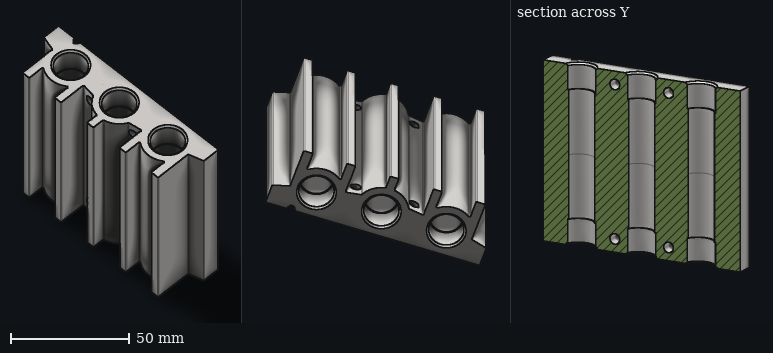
import cadquery as cq
import math

LENGTH = 95.6
DEPTH = 29.0
HEIGHT = 80.0

BORE_PITCH = 29.0
BORE_Y = 17.4
BORE_DIAMETER = 14.15
COUNTERBORE_DIAMETER = 14.9
COUNTERBORE_DEPTH = 11.5
COUNTERSINK_DIAMETER = 16.7
COUNTERSINK_DEPTH = (COUNTERSINK_DIAMETER - COUNTERBORE_DIAMETER) / 2

WALL_RADIUS = 11.7
EDGE_Y = 20.1
SHOULDER_SLOPE = 16.0
OUTER_FIN_OUTSIDE = 40.5
OUTER_FIN_INSIDE = 36.4
INNER_FIN_OUTSIDE = 21.2
INNER_FIN_INSIDE = 17.4
WEB_Y = 13.4
WEB_SLOPE_END_X = 10.5
RIB_HALF_WIDTH = 1.9
CORNER_FILLET = 0.5

GROOVE_X = -36.5
GROOVE_DEPTH = 2.1
GROOVE_RADIUS = 1.2
GROOVE_HALF_ANGLE = 30.0

MOUNT_DIAMETER = 4.5
MOUNT_X = 13.0
MOUNT_Z = 34.0


def wall_y(offset):
    """Y of the front of a bore wall at an X offset from its bore axis."""
    return BORE_Y - math.sqrt(WALL_RADIUS**2 - offset**2)


def shoulder_y():
    """Y where the sloped shoulder meets the outer fin."""
    run = LENGTH / 2 - OUTER_FIN_OUTSIDE
    return EDGE_Y - run * math.tan(math.radians(SHOULDER_SLOPE))


def half_body():
    """Right half of the finned extrusion."""
    half_length = LENGTH / 2
    wall_front_y = BORE_Y - WALL_RADIUS
    mid_x = (RIB_HALF_WIDTH + WEB_SLOPE_END_X) / 2
    profile = (
        cq.Workplane("XY", origin=(0, 0, -HEIGHT / 2))
        .moveTo(0, DEPTH)
        .lineTo(half_length, DEPTH)
        .lineTo(half_length, EDGE_Y)
        .lineTo(OUTER_FIN_OUTSIDE, shoulder_y())
        .lineTo(OUTER_FIN_OUTSIDE, 0)
        .lineTo(OUTER_FIN_INSIDE, 0)
        .lineTo(OUTER_FIN_INSIDE, wall_y(OUTER_FIN_INSIDE - BORE_PITCH))
        .threePointArc(
            (BORE_PITCH, wall_front_y),
            (INNER_FIN_OUTSIDE, wall_y(INNER_FIN_OUTSIDE - BORE_PITCH)),
        )
        .lineTo(INNER_FIN_OUTSIDE, 0)
        .lineTo(INNER_FIN_INSIDE, 0)
        .lineTo(INNER_FIN_INSIDE, WEB_Y)
        .lineTo(WEB_SLOPE_END_X, wall_y(WEB_SLOPE_END_X))
        .threePointArc((mid_x, wall_y(mid_x)), (RIB_HALF_WIDTH, wall_y(RIB_HALF_WIDTH)))
        .lineTo(RIB_HALF_WIDTH, 0)
        .lineTo(0, 0)
        .close()
    )
    return profile.extrude(HEIGHT)


def edges_along_z(x, y):
    """Selector for the vertical edges at plus and minus x."""
    margin = 0.1
    right, left = [
        cq.selectors.BoxSelector(
            (side * x - margin, y - margin, -HEIGHT),
            (side * x + margin, y + margin, HEIGHT),
        )
        for side in (1, -1)
    ]
    return right + left


def rounded_body():
    """Whole extrusion with its fin tips and profile corners rounded."""
    half = half_body()
    body = half.union(half.mirror("YZ")).clean()
    fin_sides = (OUTER_FIN_OUTSIDE, OUTER_FIN_INSIDE, INNER_FIN_OUTSIDE, INNER_FIN_INSIDE, RIB_HALF_WIDTH)
    corners = [(x, 0) for x in fin_sides]
    corners += [
        (LENGTH / 2, DEPTH),
        (LENGTH / 2, EDGE_Y),
        (OUTER_FIN_OUTSIDE, shoulder_y()),
        (OUTER_FIN_INSIDE, wall_y(OUTER_FIN_INSIDE - BORE_PITCH)),
        (INNER_FIN_OUTSIDE, wall_y(INNER_FIN_OUTSIDE - BORE_PITCH)),
        (INNER_FIN_INSIDE, WEB_Y),
        (WEB_SLOPE_END_X, wall_y(WEB_SLOPE_END_X)),
        (RIB_HALF_WIDTH, wall_y(RIB_HALF_WIDTH)),
    ]
    for x, y in corners:
        body = body.edges("|Z").edges(edges_along_z(x, y)).fillet(CORNER_FILLET)
    return body


def bore_cutter():
    """Stepped bore, countersunk at both ends, about the Z axis."""
    top = HEIGHT / 2
    upper = (
        cq.Workplane("XZ")
        .polyline([
            (0, 0),
            (BORE_DIAMETER / 2, 0),
            (BORE_DIAMETER / 2, top - COUNTERBORE_DEPTH),
            (COUNTERBORE_DIAMETER / 2, top - COUNTERBORE_DEPTH),
            (COUNTERBORE_DIAMETER / 2, top - COUNTERSINK_DEPTH),
            (COUNTERSINK_DIAMETER / 2, top),
            (0, top),
        ])
        .close()
        .revolve(360, (0, 0, 0), (0, 1, 0))
    )
    return upper.union(upper.mirror("XY"))


def groove_cutter():
    """Round-bottomed V groove running the full height."""
    angle = math.radians(GROOVE_HALF_ANGLE)
    center_y = DEPTH - GROOVE_DEPTH + GROOVE_RADIUS
    tangent_x = GROOVE_RADIUS * math.cos(angle)
    tangent_y = center_y - GROOVE_RADIUS * math.sin(angle)
    mouth_x = tangent_x + (DEPTH - tangent_y) * math.tan(angle)
    return (
        cq.Workplane("XY", origin=(GROOVE_X, 0, -HEIGHT / 2))
        .moveTo(-mouth_x, DEPTH)
        .lineTo(-tangent_x, tangent_y)
        .threePointArc((0, DEPTH - GROOVE_DEPTH), (tangent_x, tangent_y))
        .lineTo(mouth_x, DEPTH)
        .close()
        .extrude(HEIGHT)
    )


def mounting_hole_cutters():
    """Four holes through the web along Y."""
    return (
        cq.Workplane("XZ", origin=(0, DEPTH, 0))
        .rect(2 * MOUNT_X, 2 * MOUNT_Z, forConstruction=True)
        .vertices()
        .circle(MOUNT_DIAMETER / 2)
        .extrude(DEPTH)
    )


result = rounded_body()
for index in (-1, 0, 1):
    result = result.cut(bore_cutter().translate((index * BORE_PITCH, BORE_Y, 0)))
result = result.cut(groove_cutter()).cut(mounting_hole_cutters())